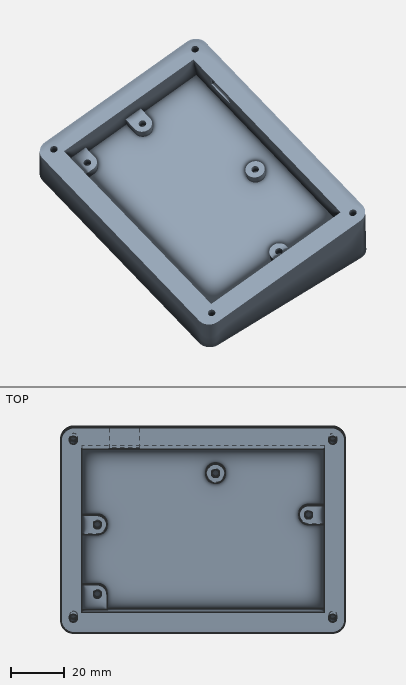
import cadquery as cq
import math

width = 105.7
length = 77.0
front_height = 13.6
back_height = 23.6
back_lean = 0.5
corner_radius = 5.0

slope_angle = math.degrees(math.atan2(back_height - front_height, length - back_lean))
tray_width = 90.0
tray_length = 61.1
tray_front = 7.9
tray_depth = 10.6

hole_diameter = 2.9
screw_spacing_x = 96.4
screw_front = 5.6
screw_back = 72.3
screw_depth = 10.0
standoff_diameter = 7.2
standoff_height = 3.5
standoff_inset = 5.7
corner_standoff_y = 13.6
left_standoff_y = 39.6
right_standoff_y = 43.3
free_standoff_x = 4.7
free_standoff_y = 58.9

slot_width = 11.0
slot_height = 3.8
slot_center_x = -29.3
slot_reach = 12.7
slot_bottom = 17.4

overlap = 1.1


def slope_plane(depth):
    """Plane parallel to the sloping top, with its origin below the front edge."""
    top = cq.Plane(origin=(0, 0, front_height)).rotated((slope_angle, 0, 0))
    top.origin = top.toWorldCoords((0, 0, -depth))
    return top


def slope_box(x_min, x_max, y_min, y_max, base_depth, height):
    """Box standing on a plane parallel to the sloping top."""
    return (
        cq.Workplane(slope_plane(base_depth))
        .center((x_min + x_max) / 2, (y_min + y_max) / 2)
        .rect(x_max - x_min, y_max - y_min)
        .extrude(height)
    )


def slope_cylinders(points, diameter, base_depth, height):
    return (
        cq.Workplane(slope_plane(base_depth))
        .pushPoints(points)
        .circle(diameter / 2)
        .extrude(height)
    )


body = (
    cq.Workplane("YZ")
    .polyline([(0, 0), (length, 0), (length - back_lean, back_height), (0, front_height)])
    .close()
    .extrude(width / 2, both=True)
    .faces("<Y or >Y")
    .edges("not |X")
    .fillet(corner_radius)
)

tray_side = tray_width / 2
tray_back = tray_front + tray_length
body = body.cut(
    slope_box(-tray_side, tray_side, tray_front, tray_back, tray_depth, tray_depth + overlap)
)

standoff_x = tray_side - standoff_inset
standoff_radius = standoff_diameter / 2
standoff_points = [
    (-standoff_x, corner_standoff_y),
    (-standoff_x, left_standoff_y),
    (standoff_x, right_standoff_y),
    (free_standoff_x, free_standoff_y),
]
body = body.union(
    slope_cylinders(standoff_points, standoff_diameter, tray_depth + overlap, standoff_height + overlap)
)

for x, y in standoff_points[:3]:
    wall_x = math.copysign(tray_side + overlap, x)
    web = slope_box(
        min(x, wall_x), max(x, wall_x), y - standoff_radius, y + standoff_radius,
        tray_depth + overlap, standoff_height + overlap,
    )
    body = body.union(web)

corner_web = slope_box(
    -tray_side - overlap, -standoff_x + standoff_radius, tray_front - overlap, corner_standoff_y,
    tray_depth + overlap, standoff_height + overlap,
)
body = body.union(corner_web)
body = body.cut(slope_cylinders(standoff_points, hole_diameter, tray_depth, standoff_height + overlap))

screw_x = screw_spacing_x / 2
screw_points = [(x, y) for x in (-screw_x, screw_x) for y in (screw_front, screw_back)]
body = body.cut(slope_cylinders(screw_points, hole_diameter, screw_depth, screw_depth + overlap))

slot = (
    cq.Workplane("XY", origin=(slot_center_x, length, slot_bottom))
    .rect(slot_width, 2 * slot_reach)
    .extrude(slot_height)
)
result = body.cut(slot)